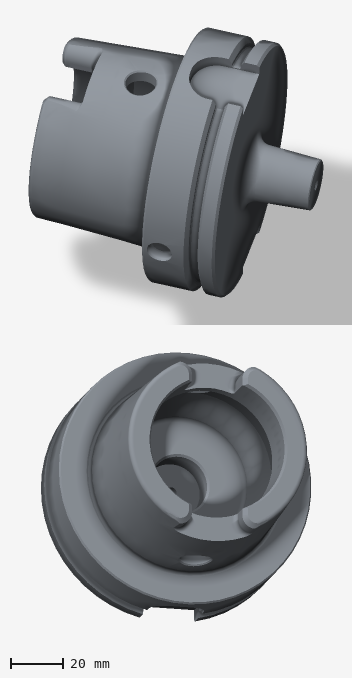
import cadquery as cq
import math


pick_margin = 0.1

shank_end_x = -49.9
shank_edge_radius = 1.8
taper_end_x = -2.4
taper_end_radius = 37.7
taper_slope = 1 / 20
taper_start_radius = taper_end_radius - taper_slope * (taper_end_x - shank_end_x)
neck_radius = 75.27 / 2
neck_start_x = -1.7
neck_end_x = -0.8
neck_fillet_radius = 1.0
face_relief_radius = 39.2

flange_radius = 50
flange_width = 29
front_chamfer_length = 0.8
front_chamfer_height = 0.6
rear_chamfer = 1.0
groove_center_x = 19.9
groove_top_width = 6.3
groove_slot_width = 3.6
groove_floor_radius = 45.85
groove_corner = 0.45
groove_flank_angle = math.radians(30)
groove_flank_depth = (groove_top_width - groove_slot_width) / 2 / math.tan(groove_flank_angle)

nose_end_x = 55
nose_end_radius = 10
nose_angle = math.radians(3)
nose_fillet_radius = 5
nose_chamfer = 0.4

mouth_radius = 53 / 2
mouth_chamfer = 0.8
mouth_chamfer_angle = math.radians(30)
chamber_radius = 63 / 2
shoulder_x = -30
shoulder_angle = math.radians(60)
chamber_end_x = -9.3
chamber_cone_end_x = 8
chamber_cone_end_radius = mouth_radius
chamber_floor_fillet = 1.7
chamber_floor_x = chamber_cone_end_x + chamber_floor_fillet
coolant_bore_radius = 22.5 / 2
coolant_bore_depth = 12
coolant_bore_chamfer = 0.85
through_hole_radius = 4.2 / 2

keyways = ((1, -34.4), (-1, -39.85))
keyway_half_width = 9.95
keyway_arc_z = 27.2
keyway_arc_radius = 5
keyway_arc_sweep = math.radians(120)
keyway_outer_run = 12
keyway_edge_radius = 1.8

cross_hole_x = -15
cross_hole_radius = 12 / 2
cross_hole_chamfer = 0.55

notch_half_width = 10.9
notch_start_x = 4.9
notch_corner_radius = 10
notch_floor_z = 44

chip_hole_x = 7.1
chip_hole_radius = 10 / 2
chip_hole_depth = 4.8
chip_hole_floor_chamfer = 0.35


def turned_blank():
    groove_half_top = groove_top_width / 2
    groove_half_slot = groove_slot_width / 2
    flank_radius = flange_radius - groove_flank_depth
    groove_corner_radius = groove_floor_radius + groove_corner
    groove_half_floor = groove_half_slot - groove_corner

    fillet_center_x = flange_width + nose_fillet_radius
    cone_start_x = fillet_center_x - nose_fillet_radius * math.sin(nose_angle)
    cone_start_radius = nose_end_radius + (nose_end_x - cone_start_x) * math.tan(nose_angle)
    fillet_center_radius = cone_start_radius + nose_fillet_radius * math.cos(nose_angle)
    fillet_mid_angle = math.pi / 4 + nose_angle / 2
    fillet_mid = (
        fillet_center_x - nose_fillet_radius * math.sin(fillet_mid_angle),
        fillet_center_radius - nose_fillet_radius * math.cos(fillet_mid_angle),
    )
    neck_mid = (
        neck_end_x + neck_fillet_radius * math.sin(math.pi / 4),
        neck_radius + neck_fillet_radius * (1 - math.cos(math.pi / 4)),
    )
    neck_top = (neck_end_x + neck_fillet_radius, neck_radius + neck_fillet_radius)

    return (
        cq.Workplane("XY")
        .moveTo(shank_end_x, 0)
        .lineTo(shank_end_x, taper_start_radius)
        .lineTo(taper_end_x, taper_end_radius)
        .lineTo(neck_start_x, neck_radius)
        .lineTo(neck_end_x, neck_radius)
        .threePointArc(neck_mid, neck_top)
        .lineTo(0, face_relief_radius)
        .lineTo(0, flange_radius - front_chamfer_height)
        .lineTo(front_chamfer_length, flange_radius)
        .lineTo(groove_center_x - groove_half_top, flange_radius)
        .lineTo(groove_center_x - groove_half_slot, flank_radius)
        .lineTo(groove_center_x - groove_half_slot, groove_corner_radius)
        .lineTo(groove_center_x - groove_half_floor, groove_floor_radius)
        .lineTo(groove_center_x + groove_half_floor, groove_floor_radius)
        .lineTo(groove_center_x + groove_half_slot, groove_corner_radius)
        .lineTo(groove_center_x + groove_half_slot, flank_radius)
        .lineTo(groove_center_x + groove_half_top, flange_radius)
        .lineTo(flange_width - rear_chamfer, flange_radius)
        .lineTo(flange_width, flange_radius - rear_chamfer)
        .lineTo(flange_width, fillet_center_radius)
        .threePointArc(fillet_mid, (cone_start_x, cone_start_radius))
        .lineTo(nose_end_x - nose_chamfer, nose_end_radius + nose_chamfer * math.tan(nose_angle))
        .lineTo(nose_end_x, nose_end_radius - nose_chamfer)
        .lineTo(nose_end_x, 0)
        .close()
        .revolve(360, (0, 0, 0), (1, 0, 0))
    )


def bore():
    shoulder_end_x = shoulder_x + (chamber_radius - mouth_radius) / math.tan(shoulder_angle)
    mouth_chamfer_end_x = shank_end_x + mouth_chamfer / math.tan(mouth_chamfer_angle)
    coolant_floor_x = chamber_floor_x + coolant_bore_depth
    return (
        cq.Workplane("XY")
        .moveTo(shank_end_x, 0)
        .lineTo(shank_end_x, mouth_radius + mouth_chamfer)
        .lineTo(mouth_chamfer_end_x, mouth_radius)
        .lineTo(shoulder_x, mouth_radius)
        .lineTo(shoulder_end_x, chamber_radius)
        .lineTo(chamber_end_x, chamber_radius)
        .lineTo(chamber_cone_end_x, chamber_cone_end_radius)
        .radiusArc((chamber_floor_x, chamber_cone_end_radius - chamber_floor_fillet), chamber_floor_fillet)
        .lineTo(chamber_floor_x, coolant_bore_radius + coolant_bore_chamfer)
        .lineTo(chamber_floor_x + coolant_bore_chamfer, coolant_bore_radius)
        .lineTo(coolant_floor_x, coolant_bore_radius)
        .lineTo(coolant_floor_x, through_hole_radius)
        .lineTo(nose_end_x, through_hole_radius)
        .lineTo(nose_end_x, 0)
        .close()
        .revolve(360, (0, 0, 0), (1, 0, 0))
    )


def keyway(side, floor_x):
    """Slot whose straight walls curl outwards round an arc to the shank surface."""
    arc_center_y = keyway_half_width + keyway_arc_radius

    def arc_point(sweep):
        return (
            arc_center_y - keyway_arc_radius * math.cos(sweep),
            keyway_arc_z + keyway_arc_radius * math.sin(sweep),
        )

    mid_y, mid_z = arc_point(keyway_arc_sweep / 2)
    end_y, end_z = arc_point(keyway_arc_sweep)
    outer_y = end_y + keyway_outer_run * math.sin(keyway_arc_sweep)
    outer_z = end_z + keyway_outer_run * math.cos(keyway_arc_sweep)
    slot = (
        cq.Workplane("YZ", origin=(shank_end_x, 0, 0))
        .moveTo(-keyway_half_width, 0)
        .lineTo(keyway_half_width, 0)
        .lineTo(keyway_half_width, keyway_arc_z)
        .threePointArc((mid_y, mid_z), (end_y, end_z))
        .lineTo(outer_y, outer_z)
        .lineTo(outer_y, flange_radius)
        .lineTo(-outer_y, flange_radius)
        .lineTo(-outer_y, outer_z)
        .lineTo(-end_y, end_z)
        .threePointArc((-mid_y, mid_z), (-keyway_half_width, keyway_arc_z))
        .close()
        .extrude(floor_x - shank_end_x)
    )
    slot = slot.union(
        cq.Workplane("YZ", origin=(shank_end_x, 0, flange_radius / 2))
        .rect(3 * outer_y, flange_radius)
        .extrude(-keyway_edge_radius)
    )

    def wall_rim(rim_x):
        return cq.selectors.BoxSelector(
            (rim_x - pick_margin, pick_margin - outer_y, pick_margin),
            (rim_x + pick_margin, outer_y - pick_margin, flange_radius - pick_margin),
        )

    slot = slot.edges(wall_rim(shank_end_x)).chamfer(keyway_edge_radius)
    slot = slot.edges(wall_rim(floor_x)).fillet(keyway_edge_radius)
    return slot if side > 0 else slot.rotate((0, 0, 0), (1, 0, 0), 180)


def cross_holes():
    return (
        cq.Workplane("XY", origin=(cross_hole_x, 0, 0))
        .circle(cross_hole_radius)
        .extrude(flange_radius, both=True)
    )


def notch(side):
    length = flange_width - notch_start_x
    block = (
        cq.Workplane("XY", origin=(notch_start_x + length / 2, 0, notch_floor_z))
        .rect(length, 2 * notch_half_width)
        .extrude(flange_radius - notch_floor_z)
        .edges("|Z and <X")
        .fillet(notch_corner_radius)
    )
    return block if side > 0 else block.rotate((0, 0, 0), (1, 0, 0), 180)


def chip_hole():
    return (
        cq.Workplane("XZ", origin=(chip_hole_x, -flange_radius + chip_hole_depth, 0))
        .circle(chip_hole_radius)
        .extrude(chip_hole_depth)
        .faces(">Y")
        .edges()
        .chamfer(chip_hole_floor_chamfer)
    )


holder = turned_blank().faces("<X").edges().fillet(shank_edge_radius)
for side, floor_x in keyways:
    holder = holder.cut(keyway(side, floor_x))
holder = holder.cut(bore()).cut(cross_holes())
for side in (1, -1):
    wall_middle_z = (chamber_radius + neck_radius) / 2
    outer_rim = cq.selectors.BoxSelector(
        (cross_hole_x - cross_hole_radius, -cross_hole_radius, side * wall_middle_z),
        (cross_hole_x + cross_hole_radius, cross_hole_radius, side * flange_radius),
    )
    holder = holder.edges(outer_rim).chamfer(cross_hole_chamfer)
    holder = holder.cut(notch(side))
holder = holder.cut(chip_hole())

result = cq.Compound.makeCompound([holder.val()])